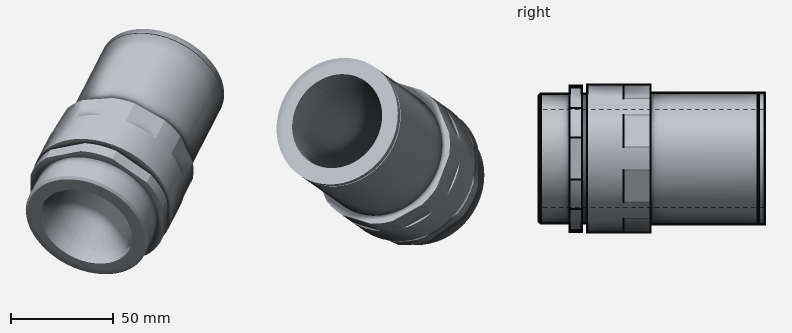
import cadquery as cq
import math

total_length = 110.0
lock_nut_start = 15.1
lock_nut_end = 21.0
body_nut_start = 23.5
flats_start = 41.2
body_nut_end = 54.5
groove_start = 106.5
groove_width = 0.5

bore_diameter = 47.5
thread_diameter = 63.0
tube_diameter = 64.0
groove_diameter = 56.5
body_nut_diameter = 72.0
lock_nut_diameter = 71.2

lock_nut_across_flats = 68.2
lock_nut_flat_count = 6
body_nut_flat_width = 16.8
body_nut_flat_count = 8
thread_chamfer = 1.1

front_y = -total_length / 2


def section_plane(station):
    """Plane across the axis, with its normal toward +Y and local y along +Z."""
    return cq.Plane(origin=(0, front_y + station, 0), xDir=(-1, 0, 0), normal=(0, 1, 0))


def cylinder(diameter, start, end):
    return cq.Workplane(section_plane(start)).circle(diameter / 2).extrude(end - start)


def polygon_prism(across_flats, side_count, first_flat_angle, start, end):
    """Regular prism whose first flat faces first_flat_angle degrees from the X axis."""
    corner_diameter = across_flats / math.cos(math.pi / side_count)
    corner_angle = first_flat_angle + 180 / side_count
    plane = section_plane(start).rotated((0, 0, corner_angle))
    return cq.Workplane(plane).polygon(side_count, corner_diameter).extrude(end - start)


def make_threaded_end():
    return cylinder(thread_diameter, 0, body_nut_start).faces("<Y").chamfer(thread_chamfer)


def make_lock_nut():
    disc = cylinder(lock_nut_diameter, lock_nut_start, lock_nut_end)
    hexagon = polygon_prism(lock_nut_across_flats, lock_nut_flat_count, 0, lock_nut_start, lock_nut_end)
    return disc.intersect(hexagon)


def make_body_nut():
    round_part = cylinder(body_nut_diameter, body_nut_start, flats_start)
    across_flats = math.sqrt(body_nut_diameter**2 - body_nut_flat_width**2)
    half_step = 180 / body_nut_flat_count
    octagon = polygon_prism(across_flats, body_nut_flat_count, half_step, flats_start, body_nut_end)
    flat_part = cylinder(body_nut_diameter, flats_start, body_nut_end).intersect(octagon)
    return round_part.union(flat_part)


def make_tube():
    groove_end = groove_start + groove_width
    return (
        cylinder(tube_diameter, body_nut_end, groove_start)
        .union(cylinder(groove_diameter, groove_start, groove_end))
        .union(cylinder(tube_diameter, groove_end, total_length))
    )


solid_body = make_threaded_end().union(make_lock_nut()).union(make_body_nut()).union(make_tube())
result = solid_body.cut(cylinder(bore_diameter, 0, total_length))